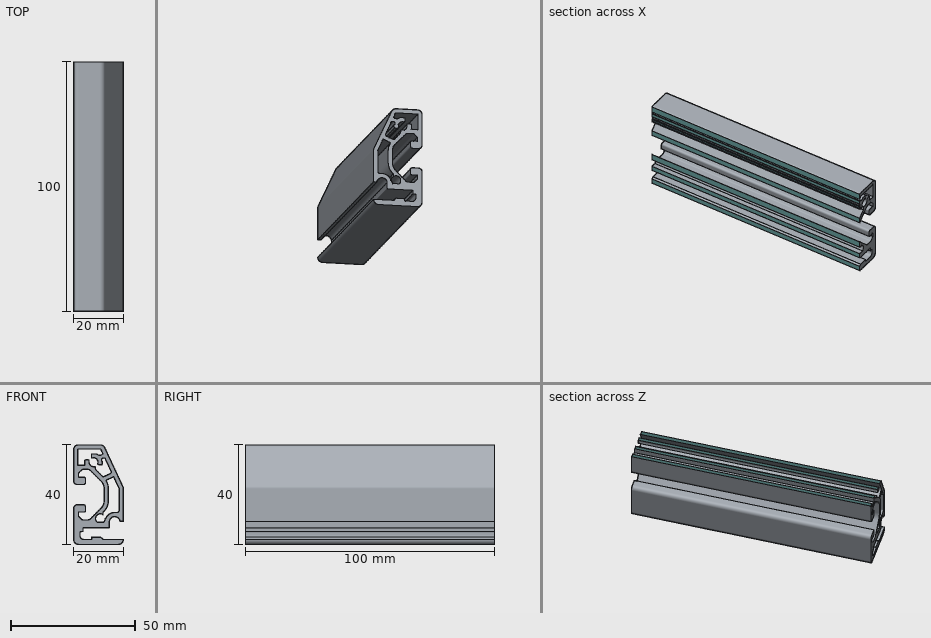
import cadquery as cq
import math

LENGTH = 100.0
WIDTH = 20.0
HEIGHT = 40.0
WALL = 1.75
MARGIN = 1.0

TOP_WIDTH = 12.0
FLANK_LEAN = math.radians(25)
OUTER_RADIUS = 2.0

SLOT_MID = HEIGHT / 2
SLOT_HALF_OPENING = 4.0
SLOT_HALF_LIP = 7.0
SLOT_HALF_HEIGHT = 10.1
SLOT_LIP_DEPTH = 4.85
SLOT_UNDERCUT = 2.0
SLOT_DEPTH = 12.25
SLOT_DIAGONAL = 16.45
SLOT_CHAMFER = 1.5
SLOT_CHAMFER_RADIUS = 0.8
SLOT_CORNER_RADIUS = 1.5
SLOT_FLOOR_RADIUS = 4.2
LIP_OUTER_RADIUS = 1.6
LIP_FRONT_RADIUS = 0.9
LIP_BACK_RADIUS = 0.6

LEG_BOTTOM = 9.3
CHANNEL_FLOOR = 2.05
CHANNEL_ROOF = 6.65
CHANNEL_BACK = 2.6
CHANNEL_STEP_X = 3.85
CHANNEL_STEP_Z = 5.15
CHANNEL_BACK_RADIUS = 1.6
CHANNEL_STEP_RADIUS = 0.5
GROOVE_CENTER = (16.5, 9.05)
GROOVE_RADIUS = 2.1
WEB_END = GROOVE_CENTER[0] - GROOVE_RADIUS
WEB_CORNER_RADIUS = 0.3
RIDGE_START = 7.3
RIDGE_FLAT_END = 10.8
RIDGE_END = 12.0
RIDGE_TOP = 3.0
RIDGE_ROOT_RADIUS = 0.4

STRUT_FOOT_Z = 27.1
CHAMBER_RADIUS = 0.7
UPPER_BORE_CENTER = (8.05, 33.0)
UPPER_BORE_RADIUS = 1.75
LOWER_BORE_CENTER = (10.75, 10.4)
LOWER_BORE_RADIUS = 1.9
LOWER_CHAMBER_FLOOR = 9.0
LOWER_BORE_MOUTH = 11.9
RIB_LEFT = 4.45
RIB_RIGHT = UPPER_BORE_CENTER[0] - UPPER_BORE_RADIUS
RIB_TOP = 34.0
RIB_RADIUS = 0.5
SEAT_TOP = 31.25
SEAT_END = 8.7
SEAT_FOOT = 8.95

ARM_LEFT = 7.15
ARM_TOP = 36.4
ARM_BOTTOM = 34.6
ARM_TIP_RADIUS = 0.5
ARM_SHOULDER_X = 9.1
ARM_SHOULDER_RADIUS = 0.4
DIMPLE_X = 10.3
DIMPLE_BOTTOM = 35.75
DIMPLE_RADIUS = 0.8
DIMPLE_END_X = 11.2
DIMPLE_END_Z = 36.0
HOOK_LEFT = 9.5
HOOK_LEFT_BOTTOM = 32.25
HOOK_BOTTOM = 31.9
HOOK_BOTTOM_START = 10.4
HOOK_BOTTOM_END = 11.45
HOOK_BARB_X = 11.65
HOOK_BARB_Z = 33.2
HOOK_NECK_X = 11.3
HOOK_NECK_Z = 33.5
HOOK_NECK_RADIUS = 0.5

WALL_DIAGONAL = SLOT_DIAGONAL + WALL * math.sqrt(2)
WALL_BACK = SLOT_DEPTH + WALL
WALL_TOP = SLOT_MID + SLOT_HALF_HEIGHT + WALL
STRUT_FOOT_X = SLOT_MID + WALL_DIAGONAL - STRUT_FOOT_Z
STRUT_RISE = math.tan(FLANK_LEAN)


def outline(corners):
    """Closed prism through (x, z, radius) corners, each rounded by a tangent arc."""
    pieces = []
    count = len(corners)
    for i, (x, z, radius) in enumerate(corners):
        here = cq.Vector(x, z)
        before = cq.Vector(*corners[i - 1][:2])
        after = cq.Vector(*corners[(i + 1) % count][:2])
        back = (before - here).normalized()
        ahead = (after - here).normalized()
        half_angle = back.getAngle(ahead) / 2
        setback = radius / math.tan(half_angle)
        bisector = (back + ahead).normalized()
        bulge = radius / math.sin(half_angle) - radius
        pieces.append((here + back * setback, here + bisector * bulge, here + ahead * setback, radius))

    sketch = cq.Workplane("XZ").moveTo(*pieces[0][2].toTuple()[:2])
    for start, middle, end, radius in pieces[1:] + pieces[:1]:
        sketch = sketch.lineTo(*start.toTuple()[:2])
        if radius > 0:
            sketch = sketch.threePointArc(middle.toTuple()[:2], end.toTuple()[:2])
    return sketch.wire().extrude(-LENGTH)


def cylinder(center, radius):
    return cq.Workplane("XZ").center(*center).circle(radius).extrude(-LENGTH)


def flank_x(z, inset=0.0):
    """X of the sloping flank at height z, moved inwards by inset."""
    return TOP_WIDTH + (HEIGHT - z) * math.tan(FLANK_LEAN) - inset / math.cos(FLANK_LEAN)


def flank_z(x, inset=0.0):
    """Height of the sloping flank at x, moved inwards by inset."""
    return HEIGHT - (x - flank_x(HEIGHT, inset)) / math.tan(FLANK_LEAN)


def envelope():
    return outline([
        (0, 0, OUTER_RADIUS),
        (WIDTH, 0, OUTER_RADIUS),
        (WIDTH, flank_z(WIDTH), OUTER_RADIUS),
        (TOP_WIDTH, HEIGHT, OUTER_RADIUS),
        (0, HEIGHT, OUTER_RADIUS),
    ])


def t_slot():
    flare_end = SLOT_HALF_OPENING + LIP_OUTER_RADIUS + MARGIN
    upper_half = [
        (SLOT_DEPTH, SLOT_DIAGONAL - SLOT_DEPTH, SLOT_FLOOR_RADIUS),
        (SLOT_DIAGONAL - SLOT_HALF_HEIGHT, SLOT_HALF_HEIGHT, SLOT_CORNER_RADIUS),
        (SLOT_UNDERCUT + SLOT_CHAMFER, SLOT_HALF_HEIGHT, SLOT_CHAMFER_RADIUS),
        (SLOT_UNDERCUT, SLOT_HALF_HEIGHT - SLOT_CHAMFER, 0),
        (SLOT_UNDERCUT, SLOT_HALF_LIP, 0),
        (SLOT_LIP_DEPTH, SLOT_HALF_LIP, LIP_BACK_RADIUS),
        (SLOT_LIP_DEPTH, SLOT_HALF_OPENING, LIP_FRONT_RADIUS),
        (0, SLOT_HALF_OPENING, LIP_OUTER_RADIUS),
        (0, flare_end, 0),
        (-MARGIN, flare_end, 0),
    ]
    upper = [(x, SLOT_MID + rise, radius) for x, rise, radius in upper_half]
    lower = [(x, SLOT_MID - rise, radius) for x, rise, radius in reversed(upper_half)]
    return outline(upper + lower)


def clip_channel():
    outside = WIDTH + MARGIN
    channel = outline([
        (outside, CHANNEL_FLOOR, 0),
        (RIDGE_END, CHANNEL_FLOOR, 0),
        (RIDGE_FLAT_END, RIDGE_TOP, 0),
        (RIDGE_START, RIDGE_TOP, 0),
        (RIDGE_START, CHANNEL_FLOOR, RIDGE_ROOT_RADIUS),
        (CHANNEL_BACK, CHANNEL_FLOOR, CHANNEL_BACK_RADIUS),
        (CHANNEL_BACK, CHANNEL_STEP_Z, CHANNEL_STEP_RADIUS),
        (CHANNEL_STEP_X, CHANNEL_STEP_Z, 0),
        (CHANNEL_STEP_X, CHANNEL_ROOF, 0),
        (WEB_END, CHANNEL_ROOF, WEB_CORNER_RADIUS),
        (WEB_END, LEG_BOTTOM, 0),
        (outside, LEG_BOTTOM, 0),
    ])
    return channel.union(cylinder(GROOVE_CENTER, GROOVE_RADIUS))


def strut_end():
    """Corner where the strut's top face meets the inside of the sloping flank."""
    run = (flank_x(STRUT_FOOT_Z, WALL) - STRUT_FOOT_X) * math.cos(FLANK_LEAN) ** 2
    return STRUT_FOOT_X + run, STRUT_FOOT_Z + run * STRUT_RISE


def upper_chamber():
    ceiling = HEIGHT - WALL
    chamber = outline([
        (WALL, ceiling, 0),
        (flank_x(ceiling, WALL), ceiling, 0),
        (*strut_end(), CHAMBER_RADIUS),
        (STRUT_FOOT_X, STRUT_FOOT_Z, CHAMBER_RADIUS),
        (SLOT_MID + WALL_DIAGONAL - WALL_TOP, WALL_TOP, 0),
        (WALL, WALL_TOP, 0),
    ])
    bore = cylinder(UPPER_BORE_CENTER, UPPER_BORE_RADIUS)
    return chamber.cut(screw_rib()).cut(screw_seat()).cut(screw_claw()).union(bore)


def screw_rib():
    root = WALL_TOP - WALL / 2
    return outline([
        (RIB_LEFT, root, 0),
        (RIB_RIGHT, root, 0),
        (RIB_RIGHT, RIB_TOP, RIB_RADIUS),
        (RIB_LEFT, RIB_TOP, RIB_RADIUS),
    ])


def screw_seat():
    """Shoulder under the upper bore, on the diagonal wall; the bore hollows out its top."""
    bore_x, bore_z = UPPER_BORE_CENTER
    foot_z = SLOT_MID + WALL_DIAGONAL - SEAT_FOOT
    return outline([
        (RIB_RIGHT, bore_z, 0),
        (bore_x, bore_z, 0),
        (bore_x, SEAT_TOP, 0),
        (SEAT_END, SEAT_TOP, 0),
        (SEAT_FOOT, foot_z, 0),
        (RIB_RIGHT, foot_z, 0),
    ])


def screw_claw():
    """Hooked claw that reaches from the sloping wall; the bore hollows out its inner side."""
    bore_x, bore_z = UPPER_BORE_CENTER
    return outline([
        (flank_x(ARM_TOP, WALL), ARM_TOP, 0),
        (DIMPLE_END_X, DIMPLE_END_Z, 0),
        (DIMPLE_X, DIMPLE_BOTTOM, DIMPLE_RADIUS),
        (ARM_SHOULDER_X, ARM_TOP, ARM_SHOULDER_RADIUS),
        (ARM_LEFT, ARM_TOP, 0),
        (ARM_LEFT, ARM_BOTTOM, ARM_TIP_RADIUS),
        (bore_x, ARM_BOTTOM, 0),
        (bore_x, bore_z, 0),
        (HOOK_LEFT, HOOK_LEFT_BOTTOM, 0),
        (HOOK_BOTTOM_START, HOOK_BOTTOM, 0),
        (HOOK_BOTTOM_END, HOOK_BOTTOM, 0),
        (HOOK_BARB_X, HOOK_BARB_Z, 0),
        (HOOK_NECK_X, HOOK_NECK_Z, 0),
        (HOOK_NECK_X, ARM_BOTTOM, HOOK_NECK_RADIUS),
        (flank_x(ARM_BOTTOM), ARM_BOTTOM, 0),
        (flank_x(ARM_TOP), ARM_TOP, 0),
    ])


def strut_and_above():
    """Everything above the strut's lower face."""
    below_foot = STRUT_FOOT_Z - WALL / math.cos(FLANK_LEAN)
    reach = WIDTH
    return outline([
        (STRUT_FOOT_X - reach, below_foot - reach * STRUT_RISE, 0),
        (STRUT_FOOT_X + reach, below_foot + reach * STRUT_RISE, 0),
        (STRUT_FOOT_X, HEIGHT + reach, 0),
    ])


def lower_chamber():
    inner_right = WIDTH - WALL
    groove_x, groove_z = GROOVE_CENTER
    groove_wall_radius = GROOVE_RADIUS + WALL
    bend_rise = WALL_DIAGONAL - WALL_BACK
    mouth_bottom = LOWER_BORE_CENTER[1]
    mouth_top = SLOT_MID - (WALL_DIAGONAL - LOWER_BORE_MOUTH)
    chamber = outline([
        (SLOT_MID + WALL_DIAGONAL - WALL_TOP, WALL_TOP, 0),
        (flank_x(WALL_TOP, WALL), WALL_TOP, 0),
        (inner_right, flank_z(inner_right, WALL), 0),
        (inner_right, groove_z + groove_wall_radius, CHAMBER_RADIUS),
        (groove_x, groove_z + groove_wall_radius, 0),
        (groove_x, mouth_bottom, 0),
        (LOWER_BORE_MOUTH, mouth_bottom, 0),
        (LOWER_BORE_MOUTH, mouth_top, 0),
        (WALL_BACK, SLOT_MID - bend_rise, SLOT_FLOOR_RADIUS + WALL),
        (WALL_BACK, SLOT_MID + bend_rise, SLOT_FLOOR_RADIUS + WALL),
    ])
    chamber = chamber.cut(strut_and_above())
    bore = cylinder(LOWER_BORE_CENTER, LOWER_BORE_RADIUS)
    floor = cq.Workplane("XY").box(WIDTH, LENGTH, LOWER_CHAMBER_FLOOR, centered=False)
    groove_wall = cylinder(GROOVE_CENTER, groove_wall_radius)
    return chamber.union(bore).cut(floor).cut(groove_wall)


result = envelope().cut(t_slot()).cut(clip_channel()).cut(upper_chamber()).cut(lower_chamber())